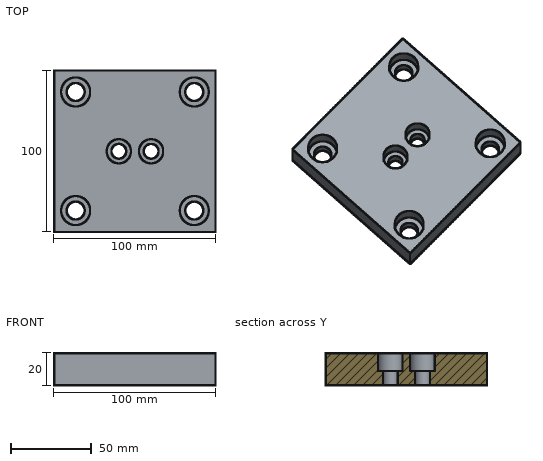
import cadquery as cq

plate_side = 100
plate_thickness = 20

corner_spacing = 73.4
corner_hole_diameter = 11
corner_bore_diameter = 18
corner_bore_depth = 12

centre_spacing = 20
centre_hole_diameter = 9
centre_bore_diameter = 15
centre_bore_depth = 11

plate = cq.Workplane("XY").box(plate_side, plate_side, plate_thickness)

plate = (
    plate.faces(">Z")
    .workplane()
    .rarray(corner_spacing, corner_spacing, 2, 2)
    .cboreHole(corner_hole_diameter, corner_bore_diameter, corner_bore_depth)
)

half_spacing = centre_spacing / 2
result = (
    plate.faces(">Z")
    .workplane()
    .pushPoints([(-half_spacing, 0), (half_spacing, 0)])
    .cboreHole(centre_hole_diameter, centre_bore_diameter, centre_bore_depth)
)